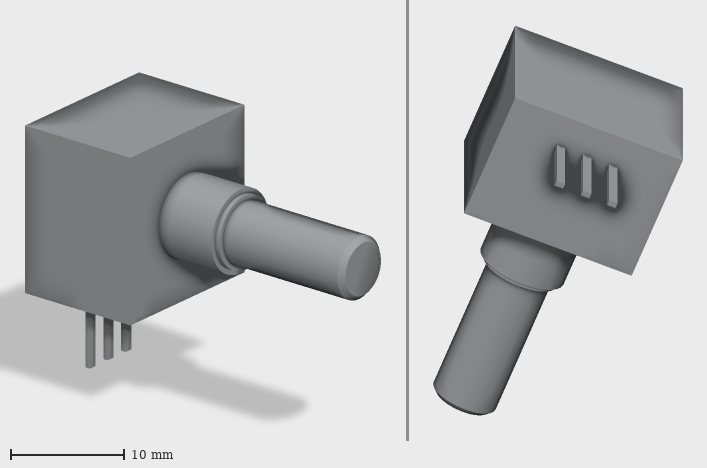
import cadquery as cq


body_side = 16.0
cover_thickness = 2.0
wafer_thickness = 1.5
housing_thickness = 7.0
plate_thickness = 1.5

wafer_rear = cover_thickness
housing_rear = wafer_rear + wafer_thickness
plate_rear = housing_rear + housing_thickness
plate_front = plate_rear + plate_thickness

bushing_diameter = 8.0
bushing_length = 6.0
collar_diameter = 7.0
collar_length = 0.5
shaft_diameter = 6.0
shaft_tip_chamfer = 0.5
overall_length = 32.0

bushing_front = plate_front + bushing_length
collar_front = bushing_front + collar_length
shaft_length = overall_length - collar_front

pin_count = 3
pin_pitch = 2.5
pin_width = 0.8
pin_thickness = 0.5
pin_length = 8.0
pin_center_x = 3.0


def square_layer(rear_x, thickness):
    """Square slab of the body, centred on the shaft axis."""
    return cq.Workplane("YZ", origin=(rear_x, 0, 0)).rect(body_side, body_side).extrude(thickness)


def round_section(rear_x, diameter, length):
    """Cylinder on the shaft axis, starting at rear_x."""
    return cq.Workplane("YZ", origin=(rear_x, 0, 0)).circle(diameter / 2).extrude(length)


def front_plate_with_bushing():
    """Front plate carrying the mounting bushing."""
    plate = square_layer(plate_rear, plate_thickness)
    return plate.union(round_section(plate_front, bushing_diameter, bushing_length))


def chamfered_shaft():
    """Shaft with a collar seated on the bushing and a chamfered free end."""
    collar = round_section(bushing_front, collar_diameter, collar_length)
    rod = round_section(collar_front, shaft_diameter, shaft_length)
    rod = rod.faces(">X").chamfer(shaft_tip_chamfer)
    return collar.union(rod)


def terminal_pin(center_y):
    """Flat pin hanging from the underside of the wafer."""
    underside = cq.Workplane("XY", origin=(pin_center_x, center_y, -body_side / 2))
    return underside.rect(pin_thickness, pin_width).extrude(-pin_length)


rear_cover = square_layer(0, cover_thickness)
wafer = square_layer(wafer_rear, wafer_thickness)
housing = square_layer(housing_rear, housing_thickness)
front_plate = front_plate_with_bushing()
shaft = chamfered_shaft()

pins = []
for index in range(pin_count):
    pin_y = (index - (pin_count - 1) / 2) * pin_pitch
    pins.append(terminal_pin(pin_y).val())

result = cq.Compound.makeCompound([
    rear_cover.val(),
    wafer.val(),
    housing.val(),
    front_plate.val(),
    shaft.val(),
    *pins,
])